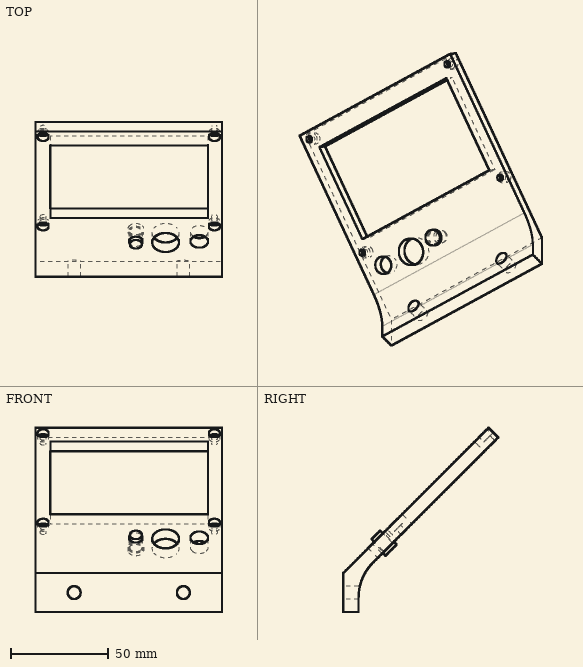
import cadquery as cq
import math

width = 96.0
foot_height = 20.0
foot_thickness = 8.0
panel_length = 105.6
panel_thickness = 7.0
panel_lean = 45.0
rear_bend_radius = 25.0

window_width = 80.8
window_height = 52.6
window_offset_x = 0.2
display_center = 69.1
screw_spacing_x = 87.9
screw_spacing_along = 64.9
screw_diameter = 3.2
screw_head_diameter = 5.8
screw_head_depth = 3.5

button_row = 25.7
button_x = 3.6
button_hole_diameter = 7.0
encoder_row = 25.0
encoder_x = 18.9
encoder_hole_diameter = 13.7
jack_row = 25.7
jack_x = 36.2
jack_hole_diameter = 9.0

mount_spacing = 56.1
mount_diameter = 6.5

button_stem_diameter = 6.2
button_projection = 2.0
button_flange_diameter = 8.2
button_flange_thickness = 2.0

lean = math.radians(panel_lean)
panel_plane = cq.Plane(
    origin=(0, 0, foot_height),
    xDir=(1, 0, 0),
    normal=(0, -math.cos(lean), math.sin(lean)),
)


def make_blank():
    """Extrude the bent side outline and round the rear of the bend."""
    top_y = panel_length * math.sin(lean)
    top_z = foot_height + panel_length * math.cos(lean)
    rear_top_y = top_y + panel_thickness * math.cos(lean)
    rear_top_z = top_z - panel_thickness * math.sin(lean)
    rear_bend_z = rear_top_z - (rear_top_y - foot_thickness) / math.tan(lean)
    outline = [
        (0, 0),
        (0, foot_height),
        (top_y, top_z),
        (rear_top_y, rear_top_z),
        (foot_thickness, rear_bend_z),
        (foot_thickness, 0),
    ]
    blank = cq.Workplane("YZ").polyline(outline).close().extrude(width / 2, both=True)
    rear_bend = cq.selectors.NearestToPointSelector((0, foot_thickness, rear_bend_z))
    return blank.edges("|X").edges(rear_bend).fillet(rear_bend_radius)


def panel_hole(x, along, diameter, depth=panel_thickness):
    """Cutter for a round hole sunk from the front face of the panel."""
    return cq.Workplane(panel_plane).center(x, along).circle(diameter / 2).extrude(-depth)


def cut_window(body):
    window = (
        cq.Workplane(panel_plane)
        .center(window_offset_x, display_center)
        .rect(window_width, window_height)
        .extrude(-panel_thickness)
    )
    return body.cut(window)


def cut_screw_holes(body):
    """Counterbored holes at the four corners of the display."""
    for side in (-1, 1):
        for end in (-1, 1):
            x = side * screw_spacing_x / 2
            along = display_center + end * screw_spacing_along / 2
            body = body.cut(panel_hole(x, along, screw_diameter))
            body = body.cut(panel_hole(x, along, screw_head_diameter, screw_head_depth))
    return body


def cut_control_holes(body):
    controls = [
        (button_x, button_row, button_hole_diameter),
        (encoder_x, encoder_row, encoder_hole_diameter),
        (jack_x, jack_row, jack_hole_diameter),
    ]
    for x, along, diameter in controls:
        body = body.cut(panel_hole(x, along, diameter))
    return body


def cut_mount_holes(body):
    """Through holes, long enough to clear the curve behind the foot."""
    mount_hole_depth = 2 * foot_thickness
    for side in (-1, 1):
        hole = (
            cq.Workplane("XZ")
            .center(side * mount_spacing / 2, foot_height / 2)
            .circle(mount_diameter / 2)
            .extrude(-mount_hole_depth)
        )
        body = body.cut(hole)
    return body


def make_bracket():
    body = make_blank()
    body = cut_window(body)
    body = cut_screw_holes(body)
    body = cut_control_holes(body)
    return cut_mount_holes(body)


def make_button():
    """Stem standing proud of the front face, with its flange against the rear face."""
    stem = (
        cq.Workplane(panel_plane)
        .workplane(offset=button_projection)
        .center(button_x, button_row)
        .circle(button_stem_diameter / 2)
        .extrude(-(button_projection + panel_thickness))
    )
    flange = (
        cq.Workplane(panel_plane)
        .workplane(offset=-panel_thickness)
        .center(button_x, button_row)
        .circle(button_flange_diameter / 2)
        .extrude(-button_flange_thickness)
    )
    return stem.union(flange)


bracket = make_bracket()
button = make_button()

result = cq.Compound.makeCompound([bracket.val(), button.val()])